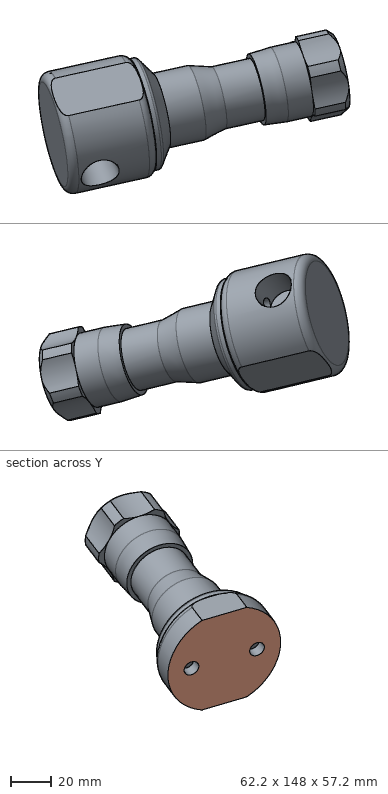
import cadquery as cq
import math

LENGTH = 147.96

HEAD_RADIUS = 31.115
HEAD_LENGTH = 45.4
HEAD_EDGE_RADIUS = 4.445
FLAT_DISTANCE = 57.15

FLANGE_RADIUS = FLAT_DISTANCE / 2
FLANGE_EDGE_Y = 47.8
FLANGE_EDGE_RADIUS = 1.6
SHOULDER_ANGLE = 34.9

SHAFT_RADIUS = 19.05
NECK_RADIUS = 15.875
COLLAR_END_RADIUS = 18.15
NECK_CONE_START_Y = 73.6
NECK_START_Y = 85.2
COLLAR_START_Y = 104.9
COLLAR_TAPER_END_Y = 116.1

NUT_RADIUS = 22.225
NUT_LENGTH = 18.9
NUT_CHAMFER = NUT_RADIUS - SHAFT_RADIUS
SCALLOP_COUNT = 6
SCALLOP_START_ANGLE = 90.0
SCALLOP_ANGLE = 45.0

PORT_Y = 15.5
PORT_MOUTH_RADIUS = 9.8
PORT_FLOOR_RADIUS = 9.0
PORT_DEPTH = 17.0
PASSAGE_RADIUS = 3.9
PASSAGE_END_WALL = 10.0
PASSAGE_X = HEAD_RADIUS - PORT_DEPTH + PASSAGE_RADIUS
PASSAGE_END_Y = HEAD_LENGTH - PASSAGE_END_WALL


def make_head():
    """Round head with rolled edges and two flats."""
    head = cq.Workplane("XZ").circle(HEAD_RADIUS).extrude(-HEAD_LENGTH)
    head = head.edges().fillet(HEAD_EDGE_RADIUS)
    flats = cq.Workplane("XY").box(
        2 * HEAD_RADIUS, HEAD_LENGTH, FLAT_DISTANCE, centered=(True, False, True)
    )
    return head.intersect(flats)


def make_shaft():
    """Flange, shoulder cone, neck and collar as one turned body."""
    slope = math.radians(SHOULDER_ANGLE)
    turn = math.pi / 2 - slope
    arc_end_radius = FLANGE_RADIUS - FLANGE_EDGE_RADIUS * (1 - math.cos(turn))
    arc_end_y = FLANGE_EDGE_Y + FLANGE_EDGE_RADIUS * math.sin(turn)
    arc_mid_radius = FLANGE_RADIUS - FLANGE_EDGE_RADIUS * (1 - math.cos(turn / 2))
    arc_mid_y = FLANGE_EDGE_Y + FLANGE_EDGE_RADIUS * math.sin(turn / 2)
    shoulder_end_y = arc_end_y + (arc_end_radius - SHAFT_RADIUS) * math.tan(slope)
    root_y = HEAD_LENGTH / 2

    profile = (
        cq.Workplane("XY")
        .moveTo(0, root_y)
        .lineTo(SHAFT_RADIUS, root_y)
        .lineTo(SHAFT_RADIUS, HEAD_LENGTH)
        .lineTo(FLANGE_RADIUS, HEAD_LENGTH)
        .lineTo(FLANGE_RADIUS, FLANGE_EDGE_Y)
        .threePointArc((arc_mid_radius, arc_mid_y), (arc_end_radius, arc_end_y))
        .lineTo(SHAFT_RADIUS, shoulder_end_y)
        .lineTo(SHAFT_RADIUS, NECK_CONE_START_Y)
        .lineTo(NECK_RADIUS, NECK_START_Y)
        .lineTo(NECK_RADIUS, COLLAR_START_Y)
        .lineTo(COLLAR_END_RADIUS, COLLAR_START_Y)
        .lineTo(SHAFT_RADIUS, COLLAR_TAPER_END_Y)
        .lineTo(SHAFT_RADIUS, LENGTH - NUT_LENGTH)
        .lineTo(0, LENGTH - NUT_LENGTH)
        .close()
    )
    return profile.revolve(360, (0, 0, 0), (0, 1, 0))


def make_nut():
    """Round nut with a chamfered end and concave scallops around its rim."""
    nut = (
        cq.Workplane("XZ", origin=(0, LENGTH - NUT_LENGTH, 0))
        .circle(NUT_RADIUS)
        .extrude(-NUT_LENGTH)
        .faces(">Y")
        .chamfer(NUT_CHAMFER)
    )
    half_angle = math.radians(SCALLOP_ANGLE / 2)
    half_chord = NUT_RADIUS * math.sin(half_angle)
    depth = NUT_RADIUS * math.cos(half_angle) - SHAFT_RADIUS
    scallop_radius = (half_chord**2 + depth**2) / (2 * depth)
    centre_distance = SHAFT_RADIUS + scallop_radius
    scallops = (
        cq.Workplane("XZ", origin=(0, LENGTH - NUT_LENGTH, 0))
        .polarArray(centre_distance, SCALLOP_START_ANGLE, 360, SCALLOP_COUNT)
        .circle(scallop_radius)
        .extrude(-NUT_LENGTH, combine=False)
    )
    return nut.cut(scallops)


def make_port(side):
    """Tapered blind port on one side (+1 or -1 along X) with its feed passage."""
    floor_x = HEAD_RADIUS - PORT_DEPTH
    profile = (
        cq.Workplane("XY")
        .moveTo(floor_x, PORT_Y)
        .lineTo(floor_x, PORT_Y + PORT_FLOOR_RADIUS)
        .lineTo(HEAD_RADIUS, PORT_Y + PORT_MOUTH_RADIUS)
        .lineTo(HEAD_RADIUS, PORT_Y)
        .close()
    )
    port = profile.revolve(360, (0, PORT_Y, 0), (1, PORT_Y, 0))
    passage = (
        cq.Workplane("XZ", origin=(PASSAGE_X, PORT_Y, 0))
        .circle(PASSAGE_RADIUS)
        .extrude(-(PASSAGE_END_Y - PORT_Y))
    )
    port = port.union(passage)
    if side < 0:
        port = port.mirror("YZ")
    return port


result = make_head().union(make_shaft()).union(make_nut())
for side in (1, -1):
    result = result.cut(make_port(side))